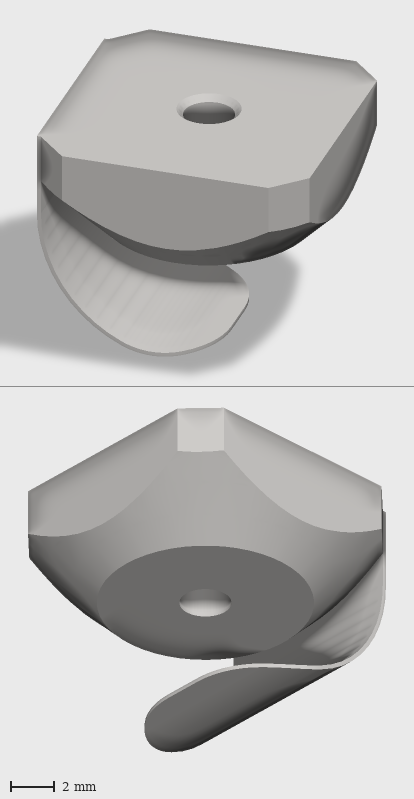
import cadquery as cq

block_side = 13.0
block_height = 5.5
corner_cut = 1.5
flat_width = block_side - 2 * corner_cut
foot_radius = flat_width / 2

hole_diameter = 2.4
countersink_diameter = 3.0
countersink_angle = 90

overall_length = 13.2
overall_height = 10.8
strip_thickness = overall_length - block_side
strip_straight = 4.0
strip_reach = 8.1
tip_corner_radius = 4.0
bend_outer_radius = overall_height - strip_straight
bend_inner_radius = bend_outer_radius - strip_thickness


def make_block():
    """Cut-corner block, with its lower part trimmed by a 45 degree cone."""
    plate = (
        cq.Workplane("XY")
        .rect(block_side, block_side)
        .extrude(-block_height)
        .edges("|Z")
        .chamfer(corner_cut)
    )
    cone = (
        cq.Workplane("XZ")
        .moveTo(0, -block_height)
        .lineTo(foot_radius, -block_height)
        .lineTo(foot_radius + block_height, 0)
        .lineTo(0, 0)
        .close()
        .revolve(360, (0, 0, 0), (0, 1, 0))
    )
    return plate.intersect(cone)


def make_strip():
    """Thin strip running down the block side and curling under it."""
    inner_x = -block_side / 2
    outer_x = inner_x - strip_thickness
    bend_x = outer_x + bend_outer_radius
    bend_z = -strip_straight
    tip_x = outer_x + strip_reach
    diagonal = 0.5 ** 0.5
    outer_middle = (bend_x - bend_outer_radius * diagonal, bend_z - bend_outer_radius * diagonal)
    inner_middle = (bend_x - bend_inner_radius * diagonal, bend_z - bend_inner_radius * diagonal)

    profile = (
        cq.Workplane("XZ")
        .moveTo(outer_x, 0)
        .lineTo(outer_x, bend_z)
        .threePointArc(outer_middle, (bend_x, -overall_height))
        .lineTo(tip_x, -overall_height)
        .lineTo(tip_x, -overall_height + strip_thickness)
        .lineTo(bend_x, -overall_height + strip_thickness)
        .threePointArc(inner_middle, (inner_x, bend_z))
        .lineTo(inner_x, 0)
        .close()
        .extrude(flat_width / 2, both=True)
    )
    outline = (
        cq.Workplane("XY")
        .center((outer_x + tip_x) / 2, 0)
        .rect(strip_reach, flat_width)
        .extrude(-overall_height)
        .edges("|Z and >X")
        .fillet(tip_corner_radius)
    )
    return profile.intersect(outline)


def drill_hole(block):
    """Through hole, countersunk at the top."""
    return (
        block.faces(">Z")
        .workplane(origin=(0, 0, 0))
        .cskHole(hole_diameter, countersink_diameter, countersink_angle, depth=block_height)
    )


result = drill_hole(make_block()).union(make_strip())